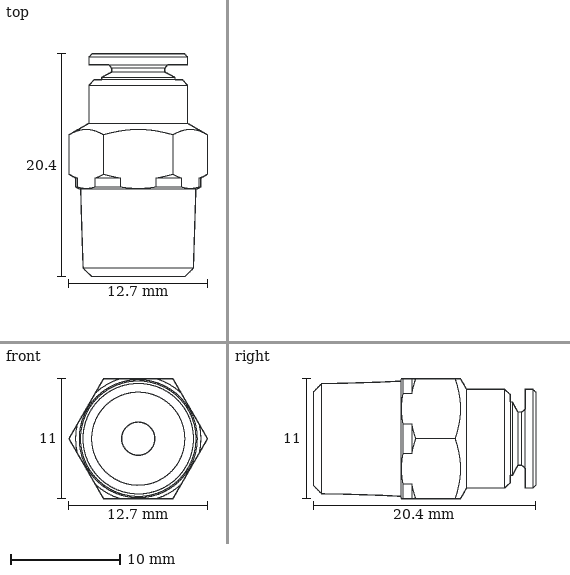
import cadquery as cq
import math

LENGTH = 20.4
THREAD_CHAMFER_END = 0.77
HEX_BASE = 8.01
HEX_RELIEF_START = 9.01
BODY_BASE = 14.03
BODY_CHAMFER_START = 17.5
BODY_END = 18.02
SLEEVE_RIM_END = 18.23
NECK_BASE = 18.72
NECK_END = 19.06
COLLAR_BASE = 19.37

BORE_RADIUS = 1.5
THREAD_TIP_RADIUS = 4.26
THREAD_SMALL_RADIUS = 5.05
THREAD_TAPER = 1 / 32
HEX_ACROSS_FLATS = 11.0
HEX_BASE_RADIUS = 5.4
HEX_RELIEF_RADIUS = 5.73
BODY_RADIUS = 4.53
BODY_CHAMFER = 0.49
SLEEVE_RIM_RADIUS = 3.36
NECK_RADIUS = 2.45
NECK_FLARE_RADIUS = 2.7
COLLAR_CHAMFER = 0.3

BEVEL_SLOPE = math.tan(math.radians(30))
HEX_ACROSS_CORNERS = HEX_ACROSS_FLATS / math.cos(math.radians(30))
BEVEL_OUTER_RADIUS = HEX_ACROSS_CORNERS / 2 + 0.2


def revolve_about_y(points):
    """Revolve a closed outline of (radius, y) points around the Y axis."""
    return cq.Workplane("XY").polyline(points).close().revolve(360, (0, 0), (0, 1))


def tapered_thread():
    large_radius = THREAD_SMALL_RADIUS + THREAD_TAPER * (HEX_BASE - THREAD_CHAMFER_END)
    return revolve_about_y([
        (0, 0),
        (THREAD_TIP_RADIUS, 0),
        (THREAD_SMALL_RADIUS, THREAD_CHAMFER_END),
        (large_radius, HEX_BASE),
        (0, HEX_BASE),
    ])


def hexagon():
    """Hexagon with beveled ends and corners turned down at the thread end."""
    prism = (
        cq.Workplane("XZ", origin=(0, HEX_BASE, 0))
        .polygon(6, HEX_ACROSS_CORNERS)
        .extrude(HEX_BASE - BODY_BASE)
    )
    base_bevel_end = HEX_BASE + BEVEL_SLOPE * (HEX_RELIEF_RADIUS - HEX_BASE_RADIUS)
    relief_bevel_end = HEX_RELIEF_START + BEVEL_SLOPE * (BEVEL_OUTER_RADIUS - HEX_RELIEF_RADIUS)
    top_bevel_start = BODY_BASE - BEVEL_SLOPE * (BEVEL_OUTER_RADIUS - BODY_RADIUS)
    envelope = revolve_about_y([
        (0, HEX_BASE),
        (HEX_BASE_RADIUS, HEX_BASE),
        (HEX_RELIEF_RADIUS, base_bevel_end),
        (HEX_RELIEF_RADIUS, HEX_RELIEF_START),
        (BEVEL_OUTER_RADIUS, relief_bevel_end),
        (BEVEL_OUTER_RADIUS, top_bevel_start),
        (BODY_RADIUS, BODY_BASE),
        (0, BODY_BASE),
    ])
    return prism.intersect(envelope)


def body_and_release_collar():
    return revolve_about_y([
        (0, BODY_BASE),
        (BODY_RADIUS, BODY_BASE),
        (BODY_RADIUS, BODY_CHAMFER_START),
        (BODY_RADIUS - BODY_CHAMFER, BODY_END),
        (SLEEVE_RIM_RADIUS, BODY_END),
        (SLEEVE_RIM_RADIUS, SLEEVE_RIM_END),
        (NECK_RADIUS, NECK_BASE),
        (NECK_RADIUS, NECK_END),
        (NECK_FLARE_RADIUS, COLLAR_BASE),
        (BODY_RADIUS, COLLAR_BASE),
        (BODY_RADIUS, LENGTH - COLLAR_CHAMFER),
        (BODY_RADIUS - COLLAR_CHAMFER, LENGTH),
        (0, LENGTH),
    ])


def through_bore():
    return cq.Workplane("XZ").circle(BORE_RADIUS).extrude(-LENGTH)


result = (
    tapered_thread()
    .union(hexagon())
    .union(body_and_release_collar())
    .cut(through_bore())
)